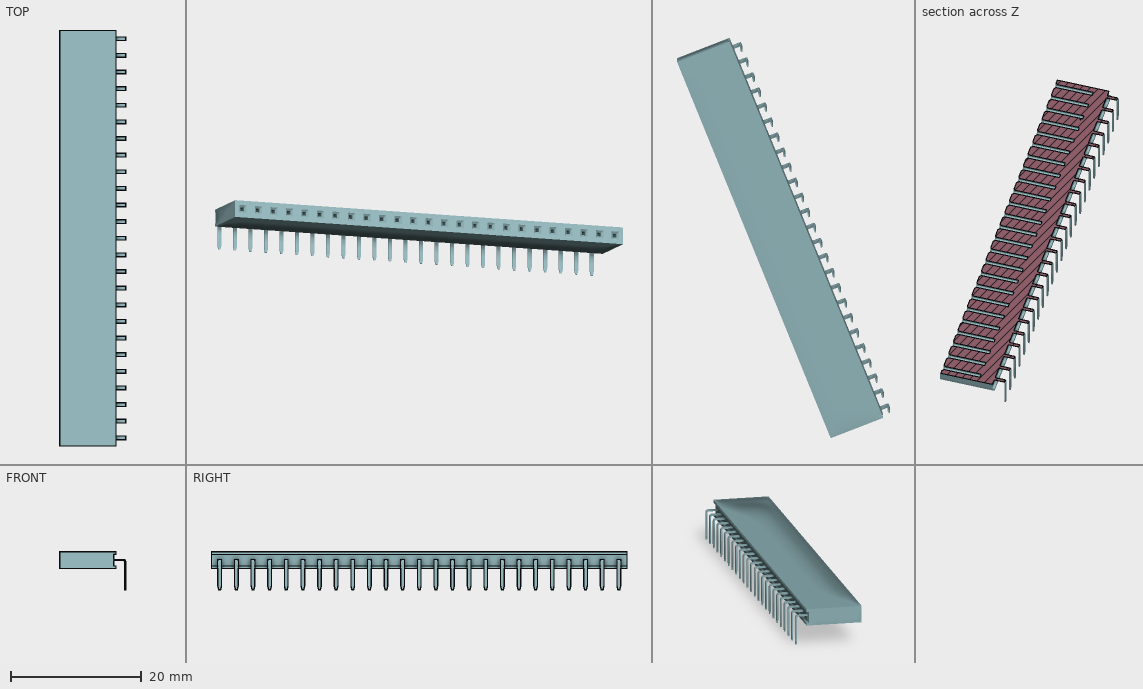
import cadquery as cq


contact_count = 25
pitch = 2.54

housing_length = contact_count * pitch
housing_depth = 8.64
housing_height = 2.6
channel_depth = 0.34
rail_height = 0.43
housing_top = housing_height / 2

socket_mouth = 1.2
socket_bore = 0.55
funnel_depth = 0.3
socket_depth = 6.0

overall_depth = 10.13
overall_height = 5.84
pin_width = 0.6
pin_thickness = 0.2
bend_outer_radius = 0.4
bend_inner_radius = bend_outer_radius - pin_thickness
pin_top = 0.13
pin_tip = housing_top - overall_height
pin_embedding = 0.5
taper_height = 0.6
tip_width = 0.3

contact_positions = [(i - (contact_count - 1) / 2) * pitch for i in range(contact_count)]


def make_housing():
    """Rectangular block with a channel along the rear face between two rails."""
    block = cq.Workplane("XY").box(
        housing_depth, housing_length, housing_height, centered=(False, True, True)
    )
    channel = (
        cq.Workplane("XY")
        .box(channel_depth, housing_length, housing_height - 2 * rail_height)
        .translate((housing_depth - channel_depth / 2, 0, 0))
    )
    return block.cut(channel)


def make_socket(y):
    """Cavity volume of one socket, opening in the mating face."""
    funnel = (
        cq.Workplane("YZ")
        .center(y, 0)
        .rect(socket_mouth, socket_mouth)
        .workplane(offset=funnel_depth)
        .rect(socket_bore, socket_bore)
        .loft(ruled=True)
    )
    bore = (
        cq.Workplane("YZ", origin=(funnel_depth, y, 0))
        .rect(socket_bore, socket_bore)
        .extrude(socket_depth - funnel_depth)
    )
    return funnel.union(bore)


def make_pin(y):
    """Flat pin with a rounded right-angle bend and a tip tapered in width."""
    root_x = housing_depth - channel_depth - pin_embedding
    bend_x = overall_depth - bend_outer_radius
    bend_z = pin_top - bend_outer_radius
    leg_inner_x = overall_depth - pin_thickness
    strip = (
        cq.Workplane("XZ")
        .moveTo(root_x, pin_top)
        .lineTo(bend_x, pin_top)
        .radiusArc((overall_depth, bend_z), bend_outer_radius)
        .lineTo(overall_depth, pin_tip)
        .lineTo(leg_inner_x, pin_tip)
        .lineTo(leg_inner_x, bend_z)
        .radiusArc((bend_x, bend_z + bend_inner_radius), -bend_inner_radius)
        .lineTo(root_x, bend_z + bend_inner_radius)
        .close()
        .extrude(pin_width / 2, both=True)
    )
    width_outline = (
        cq.Workplane("YZ")
        .moveTo(-pin_width / 2, pin_top)
        .lineTo(pin_width / 2, pin_top)
        .lineTo(pin_width / 2, pin_tip + taper_height)
        .lineTo(tip_width / 2, pin_tip)
        .lineTo(-tip_width / 2, pin_tip)
        .lineTo(-pin_width / 2, pin_tip + taper_height)
        .close()
        .extrude(overall_depth)
    )
    return strip.intersect(width_outline).translate((0, y, 0))


result = make_housing()
for contact_y in contact_positions:
    result = result.cut(make_socket(contact_y))
    result = result.union(make_pin(contact_y))